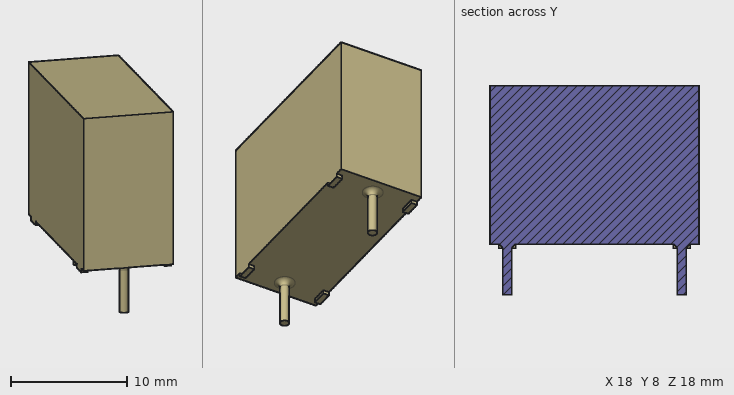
import cadquery as cq

body_length = 18.0
body_width = 8.0
overall_height = 18.0

foot_length = 1.5
foot_width = 0.55
foot_height = 0.35

lead_diameter = 0.8
lead_spacing = 15.0
lead_length = 4.35
flare_radius = 0.5

body_height = overall_height - lead_length
lead_positions = (-lead_spacing / 2, lead_spacing / 2)


def make_body():
    return cq.Workplane("XY").box(
        body_length, body_width, body_height, centered=(True, True, False)
    )


def make_feet():
    row_offset = (body_width - foot_width) / 2
    centers = [(x, y) for x in lead_positions for y in (-row_offset, row_offset)]
    return (
        cq.Workplane("XY")
        .pushPoints(centers)
        .rect(foot_length, foot_width)
        .extrude(-foot_height)
    )


def make_lead(x):
    """Lead revolved about its own axis, widening in a concave arc to meet the body."""
    radius = lead_diameter / 2
    profile = (
        cq.Workplane("XZ")
        .lineTo(radius + flare_radius, 0)
        .radiusArc((radius, -flare_radius), -flare_radius)
        .lineTo(radius, -lead_length)
        .lineTo(0, -lead_length)
        .close()
    )
    return profile.revolve(360, (0, 0, 0), (0, 1, 0)).translate((x, 0, 0))


result = make_body().union(make_feet())
for lead_x in lead_positions:
    result = result.union(make_lead(lead_x))